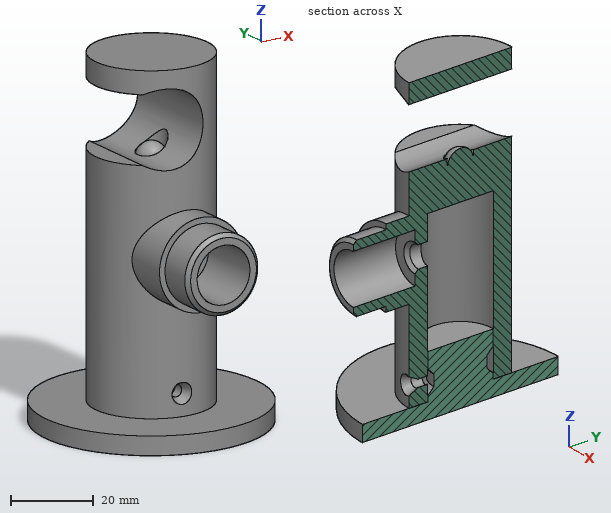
import cadquery as cq

flange_radius = 29.99
flange_thickness = 5.0
spigot_radius = 10.0
spigot_top = 18.6
groove_depth = 1.9
groove_half_floor = 1.7
groove_z = 10.2

total_height = 93.0
post_radius = 15.8
bore_top = 55.8

cradle_radius = 10.3
cradle_x = -4.9
cradle_z = 77.9
cradle_mouth = 17.9

detent_radius = 4.0
detent_top = 70.5
detent_center_z = detent_top - detent_radius

outlet_z = 45.0
boss_radius = 12.0
boss_reach = 22.8
nipple_radius = 10.4
nipple_reach = 32.78
nipple_chamfer = 1.0
socket_radius = 7.5
socket_floor = 13.95
inlet_radius = 3.3
inlet_chamfer = 1.0

screw_x = -1.1
screw_z = 10.9
screw_radius = 2.8
screw_tip_radius = 1.6
screw_taper_depth = 2.8


def rod_along_y(x, z, radius, y_start, y_end):
    """Cylinder parallel to Y between two Y positions."""
    return cq.Workplane(
        cq.Solid.makeCylinder(radius, y_end - y_start, cq.Vector(x, y_start, z), cq.Vector(0, 1, 0))
    )


def cone_along_y(x, z, outer_radius, inner_radius, y_start, depth):
    """Cone narrowing towards +Y."""
    return cq.Workplane(
        cq.Solid.makeCone(outer_radius, inner_radius, depth, cq.Vector(x, y_start, z), cq.Vector(0, 1, 0))
    )


def make_flange():
    """Round wall plate and a spigot with a V-sided groove for the set screw."""
    groove_radius = spigot_radius - groove_depth
    groove_half_mouth = groove_half_floor + groove_depth
    return (
        cq.Workplane("XZ")
        .moveTo(0, 0)
        .lineTo(flange_radius, 0)
        .lineTo(flange_radius, flange_thickness)
        .lineTo(spigot_radius, flange_thickness)
        .lineTo(spigot_radius, groove_z - groove_half_mouth)
        .lineTo(groove_radius, groove_z - groove_half_floor)
        .lineTo(groove_radius, groove_z + groove_half_floor)
        .lineTo(spigot_radius, groove_z + groove_half_mouth)
        .lineTo(spigot_radius, spigot_top)
        .lineTo(0, spigot_top)
        .close()
        .revolve(360, (0, 0, 0), (0, 1, 0))
    )


def make_cradle_cut():
    """Round cross hole along Y with a narrower mouth towards -X."""
    round_seat = rod_along_y(cradle_x, cradle_z, cradle_radius, -post_radius, post_radius)
    mouth_length = cradle_x + post_radius
    mouth = cq.Workplane("XY").box(mouth_length, 2 * post_radius, cradle_mouth)
    mouth = mouth.translate((cradle_x - mouth_length / 2, 0, cradle_z))
    return round_seat.union(mouth)


def make_detent_pocket():
    """Round pocket sunk through the cradle floor."""
    return (
        cq.Workplane("XY", origin=(0, 0, detent_center_z))
        .circle(detent_radius)
        .extrude(cradle_z - detent_center_z)
    )


def make_detent_dome():
    """Ball whose upper half rises from the pocket floor and lower half is buried in the post."""
    return cq.Workplane("XY").sphere(detent_radius).translate((0, 0, detent_center_z))


def make_outlet():
    """Boss and chamfered hose nipple."""
    boss = rod_along_y(0, outlet_z, boss_radius, -boss_reach, 0)
    nipple = rod_along_y(0, outlet_z, nipple_radius, -nipple_reach, 0)
    nipple = nipple.faces("<Y").chamfer(nipple_chamfer)
    return boss.union(nipple)


def make_outlet_bore():
    """Socket in the nipple, then a chamfered inlet hole into the post bore."""
    socket = rod_along_y(0, outlet_z, socket_radius, -nipple_reach, -socket_floor)
    inlet = rod_along_y(0, outlet_z, inlet_radius, -socket_floor, 0)
    countersink = cone_along_y(
        0, outlet_z, inlet_radius + inlet_chamfer, inlet_radius, -socket_floor, inlet_chamfer
    )
    return socket.union(inlet).union(countersink)


def make_screw_hole():
    """Set screw hole that tapers, then runs straight into the spigot bore."""
    taper = cone_along_y(screw_x, screw_z, screw_radius, screw_tip_radius, -post_radius, screw_taper_depth)
    tip = rod_along_y(screw_x, screw_z, screw_tip_radius, -post_radius, 0)
    return taper.union(tip)


def make_post():
    """Post standing on the flange, with cradle, detent, outlet and bores."""
    post = (
        cq.Workplane("XY", origin=(0, 0, flange_thickness))
        .circle(post_radius)
        .extrude(total_height - flange_thickness)
    )
    bore = (
        cq.Workplane("XY", origin=(0, 0, flange_thickness))
        .circle(spigot_radius)
        .extrude(bore_top - flange_thickness)
    )
    post = post.union(make_outlet())
    post = post.cut(bore).cut(make_outlet_bore()).cut(make_screw_hole())
    post = post.cut(make_cradle_cut()).cut(make_detent_pocket())
    return post.union(make_detent_dome())


flange = make_flange()
post = make_post()
result = cq.Compound.makeCompound([flange.val(), post.val()])